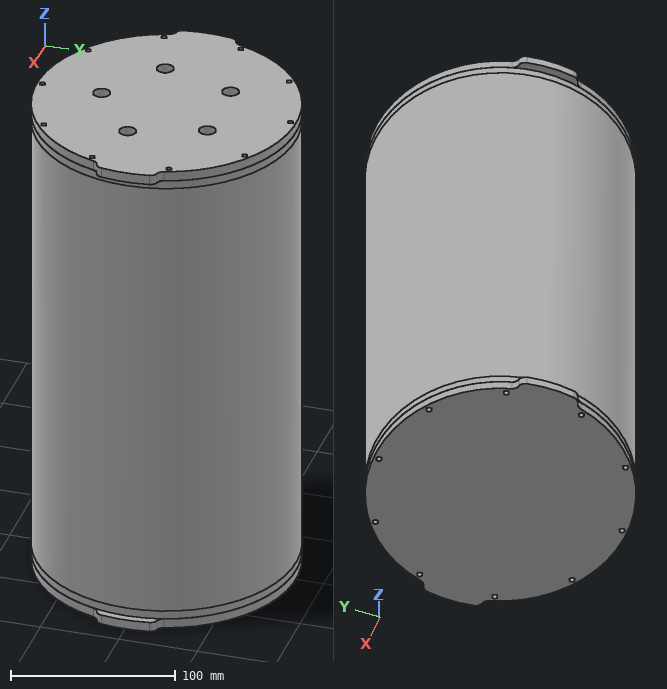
import cadquery as cq
import math

total_height = 322.5
outer_diameter = 165.0
diameter_over_lugs = 175.0

cover_thickness = 6.5
flange_thickness = 5.5
housing_height = total_height - 2 * (cover_thickness + flange_thickness)

lug_half_angle = 10.1
lug_blend_radius = 4.8

bolt_count = 10
bolt_circle_radius = 79.0
bolt_hole_diameter = 3.2

port_count = 5
port_circle_radius = 41.3
port_diameter = 10.3

outer_radius = outer_diameter / 2
lug_radius = diameter_over_lugs / 2


def disc(bottom_z, thickness):
    """Plain round body with the common outer diameter."""
    return cq.Workplane("XY", origin=(0, 0, bottom_z)).circle(outer_radius).extrude(thickness)


def hole_ring(bottom_z, radius, count, diameter):
    """Cylinders through a cover, evenly spaced on a circle, the first one at -Y."""
    return (
        cq.Workplane("XY", origin=(0, 0, bottom_z))
        .polarArray(radius, -90, 360, count)
        .circle(diameter / 2)
        .extrude(cover_thickness)
    )


def polar_point(radius, angle):
    """Point at a distance from the axis, with the angle in radians from +X."""
    return radius * math.cos(angle), radius * math.sin(angle)


def cover_blank(bottom_z):
    """Round plate with a rounded lug at +X and -X, each blended into the rim."""
    corner_distance = lug_radius - lug_blend_radius
    root_distance = outer_radius + lug_blend_radius
    centre_spacing = 2 * lug_blend_radius
    cos_between = (corner_distance**2 + root_distance**2 - centre_spacing**2) / (
        2 * corner_distance * root_distance
    )
    corner_angle = math.radians(lug_half_angle)
    root_angle = corner_angle + math.acos(cos_between)
    corner_x, corner_y = polar_point(corner_distance, corner_angle)
    root_x, root_y = polar_point(root_distance, root_angle)

    end_x, end_y = polar_point(lug_radius, corner_angle)
    blend_x = (corner_x + root_x) / 2
    blend_y = (corner_y + root_y) / 2
    rim_x, rim_y = polar_point(outer_radius, root_angle)

    return (
        cq.Workplane("XY", origin=(0, 0, bottom_z))
        .moveTo(end_x, -end_y)
        .threePointArc((lug_radius, 0), (end_x, end_y))
        .radiusArc((blend_x, blend_y), -lug_blend_radius)
        .radiusArc((rim_x, rim_y), lug_blend_radius)
        .threePointArc((0, outer_radius), (-rim_x, rim_y))
        .radiusArc((-blend_x, blend_y), lug_blend_radius)
        .radiusArc((-end_x, end_y), -lug_blend_radius)
        .threePointArc((-lug_radius, 0), (-end_x, -end_y))
        .radiusArc((-blend_x, -blend_y), -lug_blend_radius)
        .radiusArc((-rim_x, -rim_y), lug_blend_radius)
        .threePointArc((0, -outer_radius), (rim_x, -rim_y))
        .radiusArc((blend_x, -blend_y), lug_blend_radius)
        .radiusArc((end_x, -end_y), -lug_blend_radius)
        .close()
        .extrude(cover_thickness)
    )


def cover(bottom_z):
    """Lugged plate with its bolt holes."""
    bolt_holes = hole_ring(bottom_z, bolt_circle_radius, bolt_count, bolt_hole_diameter)
    return cover_blank(bottom_z).cut(bolt_holes)


bottom_z = -total_height / 2
lower_flange_z = bottom_z + cover_thickness
housing_z = lower_flange_z + flange_thickness
upper_flange_z = housing_z + housing_height
top_cover_z = upper_flange_z + flange_thickness

bottom_cover = cover(bottom_z)
flanges = [disc(z, flange_thickness) for z in (lower_flange_z, upper_flange_z)]
housing = disc(housing_z, housing_height)
port_holes = hole_ring(top_cover_z, port_circle_radius, port_count, port_diameter)
top_cover = cover(top_cover_z).cut(port_holes)

result = cq.Compound.makeCompound(
    [housing.val(), *[flange.val() for flange in flanges], bottom_cover.val(), top_cover.val()]
)